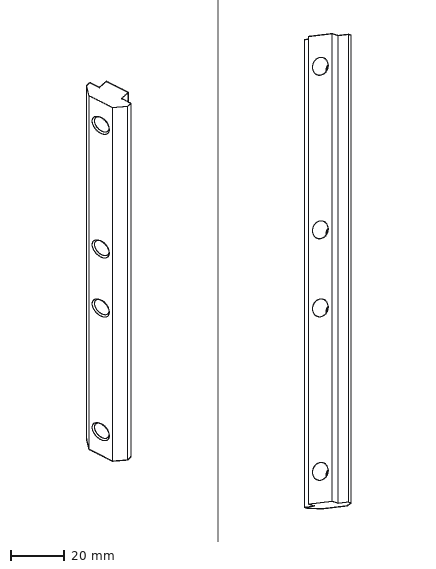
import cadquery as cq

length = 180.0
width = 19.5
depth = 10.5

stem_width = 10.5
stem_height = 4.3
flange_edge = 2.2
face_width = 11.2

hole_diameter = 6.8
countersink_diameter = 8.1
end_distance = 12.0
middle_spacing = 30.0

front_y = -depth / 2
back_y = depth / 2
shoulder_y = back_y - stem_height
bevel_y = shoulder_y - flange_edge


def make_rail():
    """Extrude the symmetric T profile along Z, centred on the origin."""
    right_half = [
        (face_width / 2, front_y),
        (width / 2, bevel_y),
        (width / 2, shoulder_y),
        (stem_width / 2, shoulder_y),
        (stem_width / 2, back_y),
    ]
    left_half = [(-x, y) for x, y in reversed(right_half)]
    profile = cq.Workplane("XY").polyline(right_half + left_half).close()
    return profile.extrude(length / 2, both=True)


def make_hole(z):
    """Through hole along Y with a 45 degree countersink on the -Y face."""
    axis = cq.Vector(0, 1, 0)
    start = cq.Vector(0, front_y, z)
    hole_radius = hole_diameter / 2
    countersink_radius = countersink_diameter / 2
    countersink_depth = countersink_radius - hole_radius
    bore = cq.Solid.makeCylinder(hole_radius, depth, start, axis)
    countersink = cq.Solid.makeCone(countersink_radius, hole_radius, countersink_depth, start, axis)
    return bore.fuse(countersink)


outer_z = length / 2 - end_distance
inner_z = middle_spacing / 2

result = make_rail()
for hole_z in (-outer_z, -inner_z, inner_z, outer_z):
    result = result.cut(cq.Workplane(obj=make_hole(hole_z)))